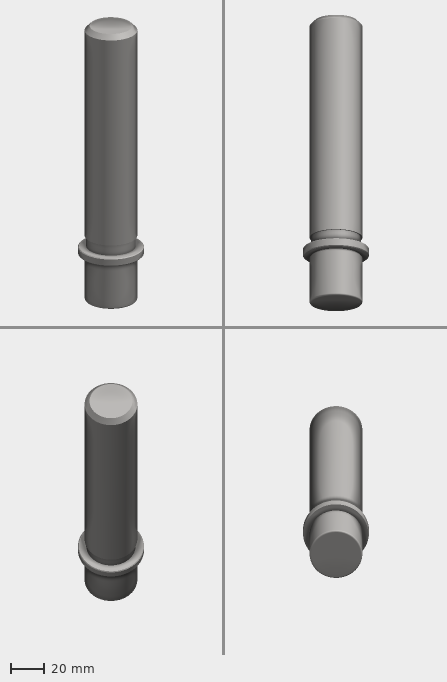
import cadquery as cq

TOTAL_LENGTH = 180.0
PIN_DIAMETER = 32.0
TOP_CHAMFER = 3.0
BOTTOM_FILLET = 1.0

COLLAR_DIAMETER = 40.0
COLLAR_BOTTOM = 30.0
COLLAR_THICKNESS = 5.0
COLLAR_EDGE_CHAMFER = 0.5

NECK_DIAMETER = 30.0
NECK_LENGTH = 7.0
RELIEF_WIDTH = 0.3

COLLAR_TOP = COLLAR_BOTTOM + COLLAR_THICKNESS
NECK_TOP = COLLAR_TOP + NECK_LENGTH
SHANK_TOP = COLLAR_BOTTOM - RELIEF_WIDTH
SHANK_CHAMFER = (PIN_DIAMETER - NECK_DIAMETER) / 2


def cylinder(diameter, bottom, top):
    """Solid cylinder on the Z axis between two levels."""
    return cq.Workplane("XY").workplane(offset=bottom).circle(diameter / 2).extrude(top - bottom)


def make_shank():
    """Lower fitting end, rounded at the bottom and chamfered down to the relief at the top."""
    shank = cylinder(PIN_DIAMETER, 0, SHANK_TOP)
    shank = shank.faces("<Z").fillet(BOTTOM_FILLET)
    return shank.faces(">Z").chamfer(SHANK_CHAMFER)


def make_neck():
    """Reduced core that joins the shank, collar and guide."""
    return cylinder(NECK_DIAMETER, SHANK_TOP, NECK_TOP)


def make_collar():
    """Collar with both rims chamfered."""
    collar = cylinder(COLLAR_DIAMETER, COLLAR_BOTTOM, COLLAR_TOP)
    return collar.faces("<Z or >Z").chamfer(COLLAR_EDGE_CHAMFER)


def make_guide():
    """Long upper guide with a lead-in chamfer."""
    guide = cylinder(PIN_DIAMETER, NECK_TOP, TOTAL_LENGTH)
    return guide.faces(">Z").chamfer(TOP_CHAMFER)


result = make_shank().union(make_neck()).union(make_collar()).union(make_guide())